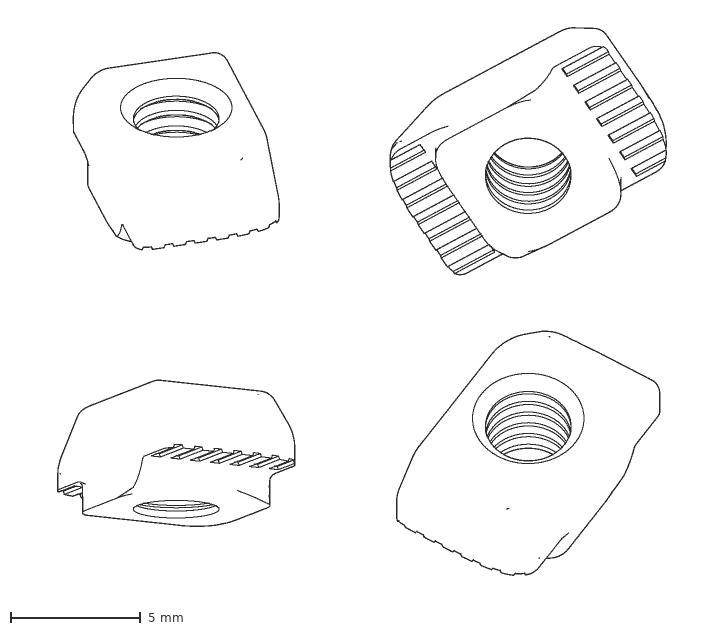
import cadquery as cq
import math

length = 10.2
width = 6.0
height = 4.23
boss_height = 1.23
boss_length = width
slope_rise = 1.48

slope_corner_radius = 1.5
bend_radius = 1.0
rim_radius = 0.5

corner_run = 1.19
corner_fullness = 0.7
body_corner_span = width / 2
boss_corner_span = 2.47

stop_run = 1.43
stop_span = 1.19
stop_fullness = 0.5
boss_edge_radius = 0.4
boss_root_radius = 0.2

bore_radius = 1.65
thread_radius = 2.0
countersink_radius = 2.15
thread_pitch = 0.7
thread_root = 0.09
thread_flank_angle = 30.0
thread_first = 0.52
thread_turns = 5

groove_count = 7
groove_pitch = width / groove_count
groove_depth = 0.12
groove_mouth = 0.4
groove_floor = 0.3

half_length = length / 2
half_width = width / 2
half_boss = boss_length / 2
slope_foot = height - slope_rise
slope_top_x = half_length - slope_rise
clearance = 1.02


def half_turn(shape):
    return shape.rotate((0, 0, 0), (0, 0, 1), 180)


def cut_both_ends(solid, cutter):
    """Cut with a cutter and with its copy turned half around Z."""
    return solid.cut(cutter).cut(half_turn(cutter))


def fillet_both_ends(solid, point, radius):
    """Round the edge nearest to a point and the edge opposite to it across the Z axis."""
    x, y, z = point
    near_edge = cq.NearestToPointSelector((x, y, z))
    far_edge = cq.NearestToPointSelector((-x, -y, z))
    return solid.edges(near_edge + far_edge).fillet(radius)


def plan_corner(half_x, span):
    """Cutter for the -X -Y plan corner: a curve tangent to the end wall and to the side face."""
    wall_y = span - half_width
    side_x = corner_run - half_x
    return (
        cq.Workplane("XY", origin=(0, 0, -clearance))
        .moveTo(-half_x, wall_y)
        .bezier([
            (-half_x, wall_y),
            (-half_x, wall_y - corner_fullness * span),
            (side_x - corner_fullness * corner_run, -half_width),
            (side_x, -half_width),
        ])
        .lineTo(side_x, -half_width - clearance)
        .lineTo(-half_x - clearance, -half_width - clearance)
        .lineTo(-half_x - clearance, wall_y)
        .close()
        .extrude(height + 2 * clearance)
    )


def slope_corner():
    """Cutter that rounds the -X slope into the -Y side face, running along the slope."""
    slope_plane = cq.Plane(
        origin=(-half_length, -half_width, slope_foot), xDir=(0, 1, 0), normal=(1, 0, 1)
    )
    return (
        cq.Workplane(slope_plane)
        .moveTo(0, -slope_corner_radius)
        .radiusArc((slope_corner_radius, 0), slope_corner_radius)
        .lineTo(slope_corner_radius, clearance)
        .lineTo(-clearance, clearance)
        .lineTo(-clearance, -slope_corner_radius)
        .close()
        .extrude(length, both=True)
    )


def make_body():
    body = (
        cq.Workplane("XZ", origin=(0, half_width, 0))
        .polyline([
            (-half_length, boss_height), (half_length, boss_height),
            (half_length, slope_foot), (slope_top_x, height),
            (-slope_top_x, height), (-half_length, slope_foot),
        ])
        .close()
        .extrude(width)
    )
    body = fillet_both_ends(body, (-slope_top_x, 0, height), bend_radius)
    body = cut_both_ends(body, slope_corner())
    body = cut_both_ends(body, plan_corner(half_length, body_corner_span))
    body = fillet_both_ends(body, (-half_length, half_width / 2, slope_foot), bend_radius)
    return fillet_both_ends(body, (0, -half_width, height), rim_radius)


def stop_corner():
    """Cutter for the +X -Y boss corner: a curve swept at 45 degrees, touching the bottom edge."""
    oblique_plane = cq.Plane(
        origin=(half_boss, -half_width, 0), xDir=(1, 0, 0), normal=(0, 1, -1)
    )
    return (
        cq.Workplane(oblique_plane)
        .moveTo(-stop_run, 0)
        .bezier([
            (-stop_run, 0),
            (-stop_run * (1 - stop_fullness), 0),
            (0, -stop_span * (1 - stop_fullness)),
            (0, -stop_span),
        ])
        .lineTo(clearance, -stop_span)
        .lineTo(clearance, clearance)
        .lineTo(-stop_run, clearance)
        .close()
        .extrude(width, both=True)
    )


def make_boss():
    boss = cq.Workplane("XY").box(boss_length, width, boss_height, centered=(True, True, False))
    boss = cut_both_ends(boss, stop_corner())
    boss = fillet_both_ends(boss, (half_boss, 0, 0), boss_edge_radius)
    return cut_both_ends(boss, plan_corner(half_boss, boss_corner_span))


def make_grip_grooves():
    """Grip grooves along X, equally spaced over the width and stopping at the boss."""
    side_run = (groove_mouth - groove_floor) / 2
    side_angle = math.degrees(math.atan2(groove_depth, side_run))
    profile = cq.Sketch().trapezoid(groove_mouth, groove_depth, side_angle)
    first_y = (groove_pitch - width) / 2
    middle_z = boss_height + groove_depth / 2
    places = [(first_y + k * groove_pitch, middle_z) for k in range(groove_count)]
    start_x = half_boss + boss_root_radius
    return (
        cq.Workplane("YZ", origin=(start_x, 0, 0))
        .pushPoints(places)
        .placeSketch(profile)
        .extrude(half_length - start_x + clearance)
    )


def make_hole():
    """Cutter for the bore, its thread grooves and the 45 degree countersink, turned around Z."""
    half_root = thread_root / 2
    flank_rise = (thread_radius - bore_radius) * math.tan(math.radians(thread_flank_angle))
    half_mouth = half_root + flank_rise
    countersink_depth = countersink_radius - bore_radius
    outline = [(0, -clearance), (bore_radius, -clearance)]
    for turn in range(thread_turns):
        z = thread_first + turn * thread_pitch
        outline += [
            (bore_radius, z - half_mouth), (thread_radius, z - half_root),
            (thread_radius, z + half_root), (bore_radius, z + half_mouth),
        ]
    outline += [
        (bore_radius, height - countersink_depth), (countersink_radius, height), (0, height),
    ]
    return cq.Workplane("XZ").polyline(outline).close().revolve(360, (0, 0, 0), (0, 1, 0))


nut = make_body().union(make_boss())
nut = fillet_both_ends(nut, (half_boss, -half_boss / 3, boss_height), boss_root_radius)
nut = cut_both_ends(nut, make_grip_grooves())
result = nut.cut(make_hole())